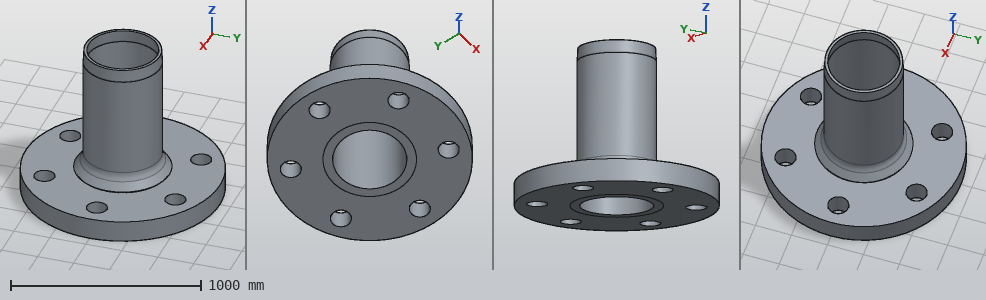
import cadquery as cq

flange_diameter = 1080.0
flange_thickness = 120.0
bolt_hole_diameter = 110.0
bolt_circle_diameter = 840.0
bolt_count = 6

total_height = 850.0
pipe_diameter = 420.0
bore_diameter = 390.0
end_outer_diameter = 410.0
end_bore_diameter = 378.0
end_base_diameter = 418.0
end_bore_base_diameter = 388.0
end_length = 70.0
end_bevel_height = 3.0
hub_diameter = 517.0
hub_seat_diameter = 498.0
hub_rim_height = 10.0
hub_cone_top_diameter = 451.0
hub_cone_top_height = 53.0
hub_blend_top_height = 100.0
spigot_diameter = 492.0

end_start_z = total_height - end_length
hub_rim_z = flange_thickness + hub_rim_height
hub_cone_top_z = flange_thickness + hub_cone_top_height
hub_blend_top_z = flange_thickness + hub_blend_top_height
seat_slope = (hub_diameter - hub_seat_diameter) / hub_rim_height
spigot_top_z = flange_thickness - (hub_seat_diameter - spigot_diameter) / seat_slope


def revolve_about_z(profile):
    """Revolve a closed XZ profile, drawn as radius and height, about Z."""
    return profile.close().revolve(360, (0, 0, 0), (0, 1, 0))


def make_flange():
    """Bolted ring whose bore opens into a conical seat at the top."""
    ring = revolve_about_z(
        cq.Workplane("XZ")
        .moveTo(spigot_diameter / 2, 0)
        .lineTo(flange_diameter / 2, 0)
        .lineTo(flange_diameter / 2, flange_thickness)
        .lineTo(hub_seat_diameter / 2, flange_thickness)
        .lineTo(spigot_diameter / 2, spigot_top_z)
    )
    bolt_holes = (
        cq.Workplane("XY")
        .polarArray(bolt_circle_diameter / 2, 0, 360, bolt_count)
        .circle(bolt_hole_diameter / 2)
        .extrude(flange_thickness)
    )
    return ring.cut(bolt_holes)


def make_pipe():
    """Hollow pipe with its hub seated in the flange."""
    return revolve_about_z(
        cq.Workplane("XZ")
        .moveTo(bore_diameter / 2, 0)
        .lineTo(spigot_diameter / 2, 0)
        .lineTo(spigot_diameter / 2, spigot_top_z)
        .lineTo(hub_diameter / 2, hub_rim_z)
        .lineTo(hub_cone_top_diameter / 2, hub_cone_top_z)
        .tangentArcPoint((pipe_diameter / 2, hub_blend_top_z), relative=False)
        .lineTo(pipe_diameter / 2, end_start_z)
        .lineTo(end_base_diameter / 2, end_start_z + end_bevel_height)
        .lineTo(end_outer_diameter / 2, total_height)
        .lineTo(end_bore_diameter / 2, total_height)
        .lineTo(end_bore_base_diameter / 2, end_start_z + end_bevel_height)
        .lineTo(bore_diameter / 2, end_start_z)
    )


flange = make_flange()
pipe = make_pipe()

result = cq.Compound.makeCompound([flange.val(), pipe.val()])